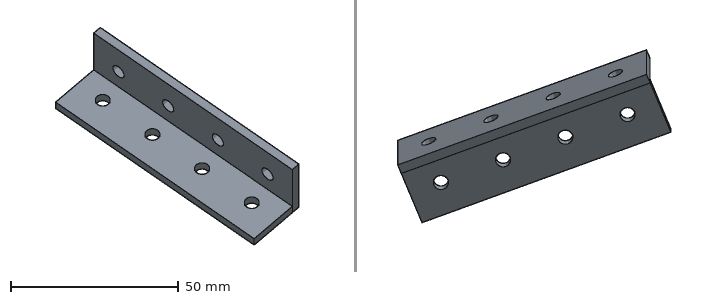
import cadquery as cq

length = 80.0
leg = 20.0
thickness = 3.0

hole_diameter = 4.5
hole_count = 4
hole_pitch = length / hole_count
hole_height = leg / 2


def hole_row(workplane):
    """Place the hole centres along X on the given workplane."""
    centres = [((i + 0.5) * hole_pitch, hole_height) for i in range(hole_count)]
    return workplane.pushPoints(centres)


def make_upright_bar():
    """Full-height bar at the back, with holes along Y."""
    bar = cq.Workplane("XY").box(length, thickness, leg, centered=False)
    bar = bar.translate((0, leg - thickness, 0))
    holes = hole_row(cq.Workplane("XZ")).circle(hole_diameter / 2).extrude(-leg)
    return bar.cut(holes)


def make_base_bar():
    """Flat bar butting against the front of the upright, with holes along Z."""
    bar = cq.Workplane("XY").box(length, leg - thickness, thickness, centered=False)
    holes = hole_row(cq.Workplane("XY")).circle(hole_diameter / 2).extrude(thickness)
    return bar.cut(holes)


upright_bar = make_upright_bar()
base_bar = make_base_bar()

result = cq.Compound.makeCompound([upright_bar.val(), base_bar.val()])